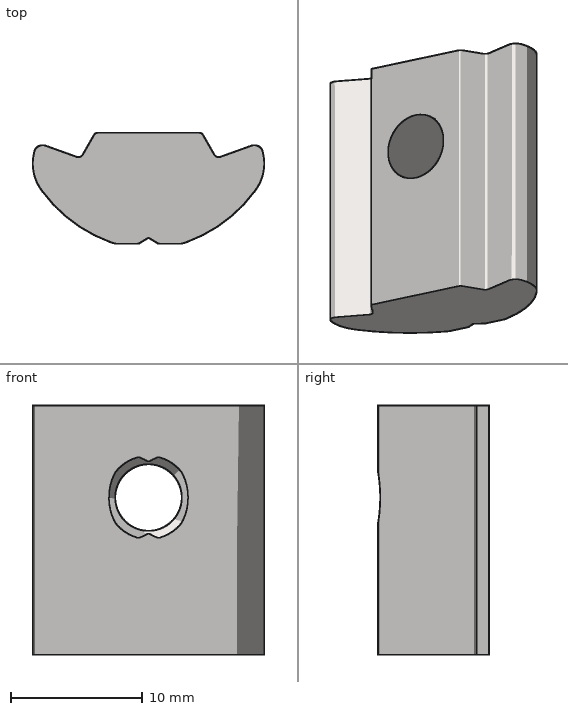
import cadquery as cq

LENGTH = 19.0
DEPTH = 8.45
HALF_WIDTH = 8.825

GROOVE_HALF_WIDTH = 0.75
GROOVE_DEPTH = 0.45
GROOVE_ROUND = 0.19
FLAT_HALF_WIDTH = 2.53
BLEND_END = (2.89, 0.11)
BELLY_MIDDLE = (5.81, 1.7)
BELLY_END = (8.08, 3.97)
WIDEST_HEIGHT = 6.08
SIDE_END = (8.72, 6.94)
TIP_MIDDLE = (8.47, 7.37)
TIP_END = (7.87, 7.49)
NOTCH_BOTTOM = (5.17, 6.52)
NOTCH_ROUND = 0.38
RIB_HALF_WIDTH = 4.07
RIB_ROUND = 0.28

HOLE_HEIGHT = 11.99
HOLE_RADIUS = 2.53
SINK_RADIUS = 3.17


def make_half():
    """Right half of the nut, with its front face on Y = 0."""
    half = (
        cq.Workplane("XY")
        .moveTo(0, GROOVE_DEPTH)
        .lineTo(GROOVE_HALF_WIDTH, 0)
        .lineTo(FLAT_HALF_WIDTH, 0)
        .lineTo(*BLEND_END)
        .threePointArc(BELLY_MIDDLE, BELLY_END)
        .threePointArc((HALF_WIDTH, WIDEST_HEIGHT), SIDE_END)
        .threePointArc(TIP_MIDDLE, TIP_END)
        .lineTo(*NOTCH_BOTTOM)
        .lineTo(RIB_HALF_WIDTH, DEPTH)
        .lineTo(0, DEPTH)
        .close()
        .extrude(LENGTH)
    )
    half = round_edge(half, NOTCH_BOTTOM, NOTCH_ROUND)
    half = round_edge(half, (RIB_HALF_WIDTH, DEPTH), RIB_ROUND)
    return round_edge(half, (GROOVE_HALF_WIDTH, 0), GROOVE_ROUND)


def round_edge(body, corner, radius):
    """Fillet the lengthwise edge passing through a section corner."""
    edge = cq.selectors.NearestToPointSelector((*corner, LENGTH / 2))
    return body.edges("|Z").edges(edge).fillet(radius)


def make_hole():
    """Through hole along Y, opening in a countersink at Y = 0."""
    sink_depth = SINK_RADIUS - HOLE_RADIUS
    profile = (
        cq.Workplane("XY")
        .polyline([(0, 0), (SINK_RADIUS, 0), (HOLE_RADIUS, sink_depth), (HOLE_RADIUS, DEPTH), (0, DEPTH)])
        .close()
    )
    return profile.revolve(360, (0, 0), (0, 1)).translate((0, 0, HOLE_HEIGHT))


half_nut = make_half()
nut = half_nut.union(half_nut.mirror("YZ")).clean()
nut = round_edge(nut, (0, GROOVE_DEPTH), GROOVE_ROUND)
result = nut.cut(make_hole())